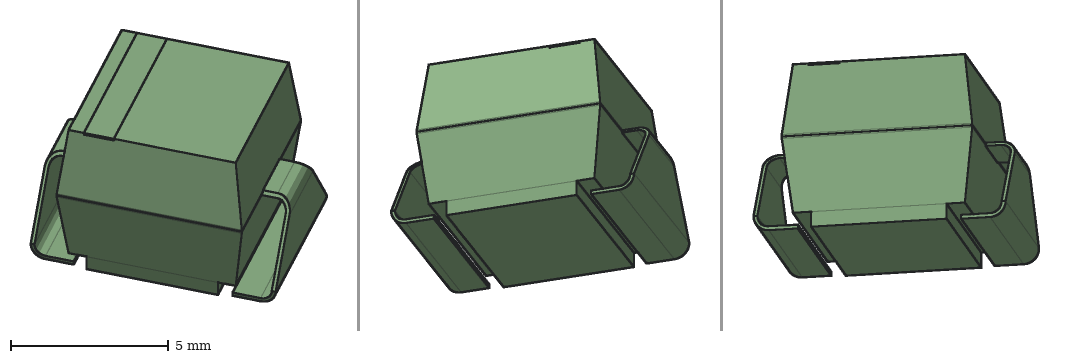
import cadquery as cq

overall_length = 8.18
overall_height = 5.43
case_length = 6.18
case_width = 6.1
case_draft = 0.3
standoff_length = 4.39
standoff_height = 0.5
parting_height = 2.96

lead_thickness = 0.13
lead_bend_radius = 0.5
lead_foot_length = 1.44
lead_foot_width = 5.3
lead_neck_width = 1.72

mark_length = 1.0
mark_start = -2.28
mark_depth = 0.06

half_band = lead_thickness / 2
lead_top = parting_height + half_band
end_face_length = case_length - 2 * case_draft
end_face_width = case_width - 2 * case_draft


def case_half(outer_height, direction):
    """Upright half band and drafted walls, running up (1) or down (-1) from the parting plane."""
    band_edge = parting_height + direction * half_band
    band = (
        cq.Workplane("XY", origin=(0, 0, parting_height))
        .rect(case_length, case_width)
        .extrude(direction * half_band)
    )
    walls = (
        cq.Workplane("XY", origin=(0, 0, band_edge))
        .rect(case_length, case_width)
        .workplane(offset=outer_height - band_edge)
        .rect(end_face_length, end_face_width)
        .loft(ruled=True)
    )
    return band.union(walls)


def mark_space():
    """Strip across the top of the case, taken from the upper half to form the polarity mark."""
    return (
        cq.Workplane("XY", origin=(0, 0, overall_height - mark_depth))
        .rect(mark_length, case_width)
        .extrude(mark_depth)
        .translate((mark_start + mark_length / 2, 0, 0))
    )


def lower_case_half():
    """Lower half with the standoff block that rests on the mounting plane."""
    standoff = (
        cq.Workplane("XY")
        .rect(standoff_length, end_face_width)
        .extrude(standoff_height)
    )
    return case_half(standoff_height, -1).union(standoff)


def lead(side):
    """C-shaped strip on the +X (1) or -X (-1) end, tapering from a wide foot to a narrow neck."""
    outer_x = overall_length / 2
    inner_x = outer_x - lead_thickness
    foot_end = outer_x - lead_foot_length
    case_face = case_length / 2
    bend_x = outer_x - lead_bend_radius
    lower_bend_z = lead_bend_radius
    upper_bend_z = lead_top - lead_bend_radius
    inner_radius = lead_bend_radius - lead_thickness

    strip = (
        cq.Workplane("XZ")
        .moveTo(foot_end, 0)
        .lineTo(bend_x, 0)
        .radiusArc((outer_x, lower_bend_z), -lead_bend_radius)
        .lineTo(outer_x, upper_bend_z)
        .radiusArc((bend_x, lead_top), -lead_bend_radius)
        .lineTo(case_face, lead_top)
        .lineTo(case_face, lead_top - lead_thickness)
        .lineTo(bend_x, lead_top - lead_thickness)
        .radiusArc((inner_x, upper_bend_z), inner_radius)
        .lineTo(inner_x, lower_bend_z)
        .radiusArc((bend_x, lead_thickness), inner_radius)
        .lineTo(foot_end, lead_thickness)
        .close()
        .extrude(lead_foot_width / 2, both=True)
    )
    end_outline = (
        cq.Workplane("YZ")
        .polyline([
            (-lead_foot_width / 2, 0),
            (lead_foot_width / 2, 0),
            (lead_foot_width / 2, lower_bend_z),
            (lead_neck_width / 2, lead_top),
            (-lead_neck_width / 2, lead_top),
            (-lead_foot_width / 2, lower_bend_z),
        ])
        .close()
        .extrude(overall_length)
    )
    shaped = strip.intersect(end_outline)
    if side < 0:
        return shaped.mirror("YZ")
    return shaped


plain_upper_half = case_half(overall_height, 1)
upper_half = plain_upper_half.cut(mark_space())
polarity_mark = plain_upper_half.intersect(mark_space())
lower_half = lower_case_half()
leads = [lead(side) for side in (-1, 1)]

result = cq.Compound.makeCompound([
    upper_half.solids().val(),
    lower_half.solids().val(),
    polarity_mark.solids().val(),
    *[strip.solids().val() for strip in leads],
])